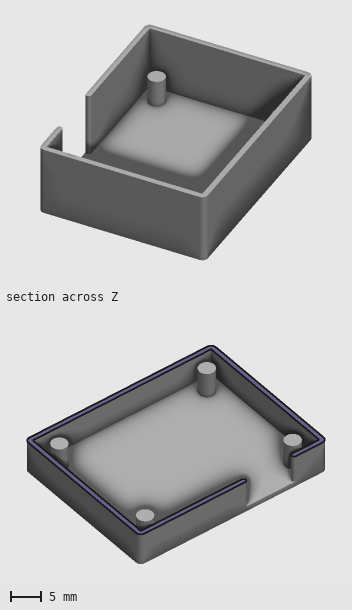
import cadquery as cq

length_x = 30.5
width_y = 38.8
height = 12.7
wall = 1.0
floor = 1.0
corner_radius = 1.0

pin_diameter = 3.0
pin_height = 5.0
pin_spacing_x = 22.7
pin_spacing_y = 30.5

opening_width = 9.5
opening_from_front = 7.0
opening_edge_radius = 0.49


def make_tray():
    """Box with rounded outer corners and a sharp-cornered cavity."""
    outer = (
        cq.Workplane("XY")
        .box(length_x, width_y, height, centered=(True, True, False))
        .edges("|Z")
        .fillet(corner_radius)
    )
    cavity = (
        cq.Workplane("XY", origin=(0, 0, floor))
        .rect(length_x - 2 * wall, width_y - 2 * wall)
        .extrude(height - floor)
    )
    return outer.cut(cavity)


def cut_opening(tray):
    """Open the -X wall down to the floor and round both wall ends."""
    wall_middle_x = -(length_x - wall) / 2
    opening_start_y = -width_y / 2 + opening_from_front
    opening_end_y = opening_start_y + opening_width
    opening = (
        cq.Workplane("XY", origin=(wall_middle_x, (opening_start_y + opening_end_y) / 2, floor))
        .rect(wall, opening_width)
        .extrude(height - floor)
    )
    tray = tray.cut(opening)

    margin = wall / 10
    wall_end_edges = cq.selectors.BoxSelector(
        (-length_x / 2 - margin, opening_start_y - margin, floor - margin),
        (-length_x / 2 + wall + margin, opening_end_y + margin, height + margin),
    )
    return tray.edges("|Z").edges(wall_end_edges).fillet(opening_edge_radius)


def make_pins():
    """Four pins at the corners of a centred rectangle, rooted in the floor."""
    return (
        cq.Workplane("XY")
        .rect(pin_spacing_x, pin_spacing_y, forConstruction=True)
        .vertices()
        .circle(pin_diameter / 2)
        .extrude(floor + pin_height)
    )


result = cut_opening(make_tray()).union(make_pins())